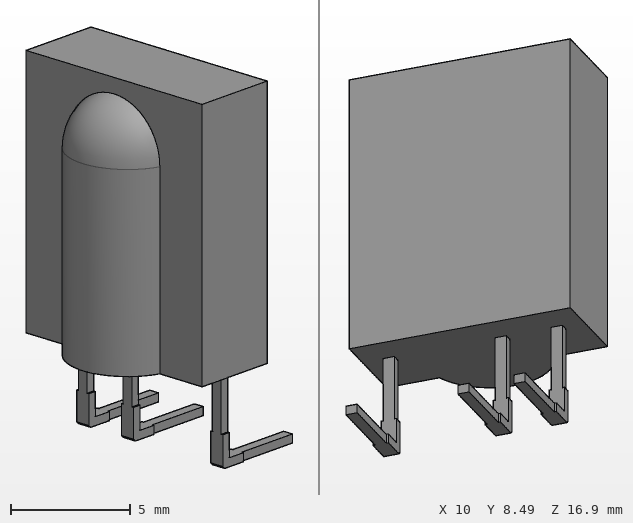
import cadquery as cq

body_width = 10.0
body_depth = 4.0
body_height = 12.49

lens_bulge = 1.9
lens_chord = 5.2
lens_radius = ((lens_chord / 2) ** 2 + lens_bulge**2) / (2 * lens_bulge)
lens_axis_y = lens_radius - lens_bulge
dome_base_z = 9.16

lead_pitch = 2.54
lead_positions = [-1.5 * lead_pitch, -0.5 * lead_pitch, 1.5 * lead_pitch]
lead_width = 0.5
lead_thickness = 0.4
lead_drop = 16.9 - body_height
lead_front_y = 2.2
foot_end_y = body_depth + 2.59
bend_chamfer = 0.12

bend_width = 0.7
bend_height = 1.52
bend_length = 1.27


def make_body():
    return cq.Workplane("XY").box(
        body_width, body_depth, body_height, centered=(True, False, False)
    )


def make_lens():
    """Domed cylinder whose rear part lies inside the body."""
    column = cq.Workplane("XY").circle(lens_radius).extrude(dome_base_z)
    dome = cq.Workplane("XY").sphere(lens_radius).translate((0, 0, dome_base_z))
    return column.union(dome).translate((0, lens_axis_y, 0))


def bent_strip(width, top_z, back_y):
    """L-shaped strip centred on X = 0, with its outer bend edge chamfered."""
    bottom_z = -lead_drop
    inner_y = lead_front_y + lead_thickness
    inner_z = bottom_z + lead_thickness
    profile = [
        (lead_front_y, top_z),
        (inner_y, top_z),
        (inner_y, inner_z),
        (back_y, inner_z),
        (back_y, bottom_z),
        (lead_front_y + bend_chamfer, bottom_z),
        (lead_front_y, bottom_z + bend_chamfer),
    ]
    return cq.Workplane("YZ").polyline(profile).close().extrude(width / 2, both=True)


def make_lead():
    strip = bent_strip(lead_width, 0, foot_end_y)
    wide_bend = bent_strip(bend_width, bend_height - lead_drop, lead_front_y + bend_length)
    return strip.union(wide_bend)


result = make_body().union(make_lens())
lead = make_lead()
for lead_x in lead_positions:
    result = result.union(lead.translate((lead_x, 0, 0)))